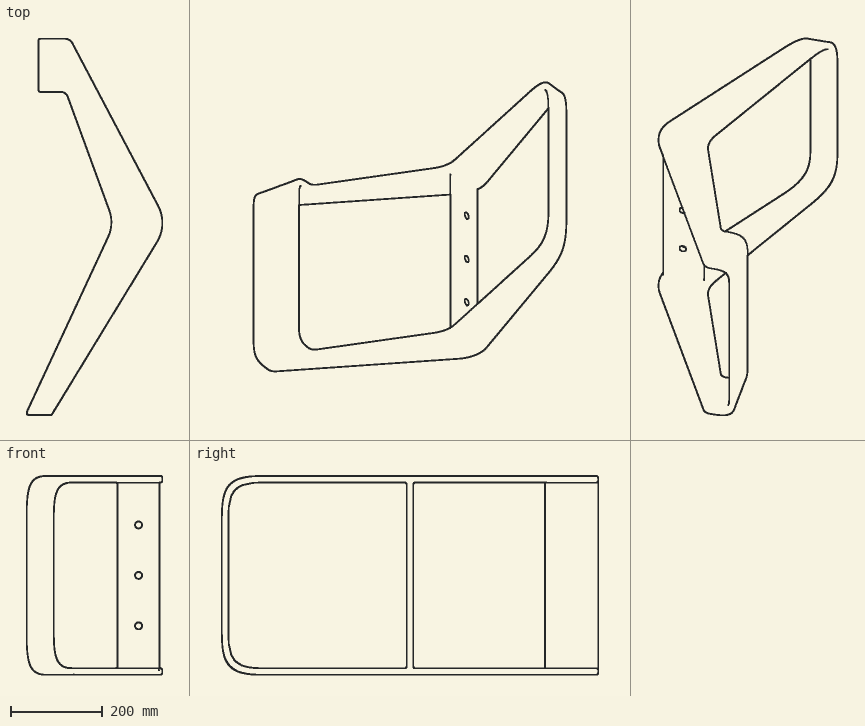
import cadquery as cq

length = 823.0
height = 435.5
sheet = 15.0
rim_radius = 5.0

back_y = length / 2
front_y = -length / 2

tab_left_x = 25.5
tab_width = 117.0
tab_front_y = back_y - tab_width
tab_back_corner = (95.0, back_y)
tab_inner_corner = (86.0, tab_front_y)
outer_elbow = (309.0, 6.0)
inner_elbow = (191.0, 6.5)
front_right_corner = (54.0, front_y)
front_left_corner = (-3.0, front_y)

tab_back_radius = 20.0
tab_inner_radius = 15.0
outer_elbow_radius = 80.0
inner_elbow_radius = 75.0

front_bend = 88.0
tab_bend = 49.0
bend_fullness = 0.78
split_y = 165.0

brace_left_x = 198.0
brace_right_x = 290.5
brace_edge_radius = 7.25
brace_root_radius = 4.0
brace_center_x = (brace_left_x + brace_right_x) / 2
hole_diameter = 15.0
hole_pitch = 110.0
hole_count = 3

reach = 2 * length
snug = 1.0


def plan_prism():
    """Boomerang outline with its tab, extruded over the full height."""
    corners = [
        (tab_left_x, back_y), tab_back_corner, outer_elbow, front_right_corner,
        front_left_corner, inner_elbow, tab_inner_corner, (tab_left_x, tab_front_y),
    ]
    roundings = [
        (tab_back_corner, tab_back_radius),
        (tab_inner_corner, tab_inner_radius),
        (outer_elbow, outer_elbow_radius),
        (inner_elbow, inner_elbow_radius),
    ]
    prism = cq.Workplane("XY").polyline(corners).close().extrude(height / 2, both=True)
    for (x, y), radius in roundings:
        corner = cq.selectors.NearestToPointSelector((x, y, 0))
        prism = prism.edges(corner).fillet(radius)
    return prism


def bent_block(plane, wall, half_height, bend):
    """Long block whose two corners at its wall are curvature-smooth blends."""
    handle = bend * (1 - bend_fullness)
    end = wall + reach
    return (
        cq.Workplane(plane)
        .moveTo(end, half_height)
        .lineTo(wall + bend, half_height)
        .bezier(
            [(wall + handle, half_height), (wall, half_height - handle), (wall, half_height - bend)],
            includeCurrent=True,
        )
        .lineTo(wall, bend - half_height)
        .bezier(
            [(wall, handle - half_height), (wall + handle, -half_height), (wall + bend, -half_height)],
            includeCurrent=True,
        )
        .lineTo(end, -half_height)
        .close()
        .extrude(reach, both=True)
    )


def bent_channel(plane, wall, bend):
    """U-shaped channel of constant thickness: a wall with a plate above and a plate below."""
    outside = bent_block(plane, wall, height / 2, bend)
    inside = bent_block(plane, wall + sheet, height / 2 - sheet, bend - sheet)
    return outside.cut(inside)


def slice_between(from_y, to_y):
    """Endless slab used to keep only the stretch between two Y positions."""
    return cq.Workplane("XY").box(reach, to_y - from_y, reach).translate((0, (from_y + to_y) / 2, 0))


def is_rim(edge):
    """True for the sharp edges of the band, false for lines between tangent faces."""
    box = edge.BoundingBox()
    tiny = 0.01
    straight = edge.geomType() == "LINE"
    along_y = straight and max(box.xlen, box.zlen) < tiny
    along_x = straight and max(box.ylen, box.zlen) < tiny
    along_z = straight and max(box.xlen, box.ylen) < tiny
    if along_y:
        return False
    if along_x:
        return box.ymin > split_y
    if along_z:
        return box.zlen > 2 * sheet
    return True


def band():
    """Bent sheet forming the closed frame, with rounded rims."""
    prism = plan_prism()
    front = bent_channel("YZ", front_y, front_bend).intersect(slice_between(-reach, split_y))
    back = bent_channel("XZ", tab_left_x, tab_bend).intersect(slice_between(split_y, reach))
    frame = prism.intersect(front).union(prism.intersect(back)).clean()
    rims = [edge for edge in frame.edges().vals() if is_rim(edge)]
    return frame.newObject(rims).fillet(rim_radius)


def brace():
    """Upright strip with almost fully rounded edges, ending inside the two plates."""
    return (
        cq.Workplane("XY")
        .box(brace_right_x - brace_left_x, sheet, height - sheet)
        .edges("|Z")
        .fillet(brace_edge_radius)
        .translate((brace_center_x, 0, 0))
    )


def brace_roots(frame):
    """Edges where the brace meets the inner faces of the two plates."""
    level = height / 2 - sheet
    left = brace_left_x - snug
    right = brace_right_x + snug
    side = sheet / 2 + snug
    upper = cq.selectors.BoxSelector((left, -side, level - snug), (right, side, level + snug))
    lower = cq.selectors.BoxSelector((left, -side, -level - snug), (right, side, -level + snug))
    return frame.edges(upper + lower)


def brace_holes():
    """Column of screw holes through the brace."""
    return (
        cq.Workplane("XZ")
        .center(brace_center_x, 0)
        .rarray(hole_pitch, hole_pitch, 1, hole_count)
        .circle(hole_diameter / 2)
        .extrude(sheet, both=True)
    )


braced = band().union(brace())
rooted = brace_roots(braced).fillet(brace_root_radius)
result = rooted.cut(brace_holes())